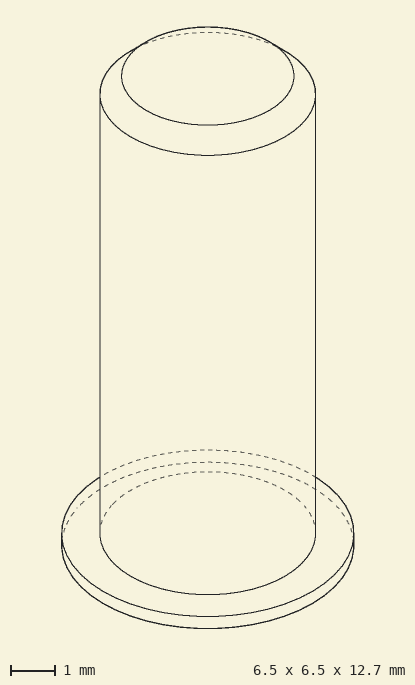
import cadquery as cq

total_height = 12.7
flange_diameter = 6.5
flange_thickness = 0.33
pin_diameter = 4.8
tip_chamfer = 0.48

flange = cq.Workplane("XY").circle(flange_diameter / 2).extrude(flange_thickness)

pin = (
    cq.Workplane("XY")
    .circle(pin_diameter / 2)
    .extrude(total_height)
    .faces(">Z")
    .chamfer(tip_chamfer)
)

result = flange.union(pin)